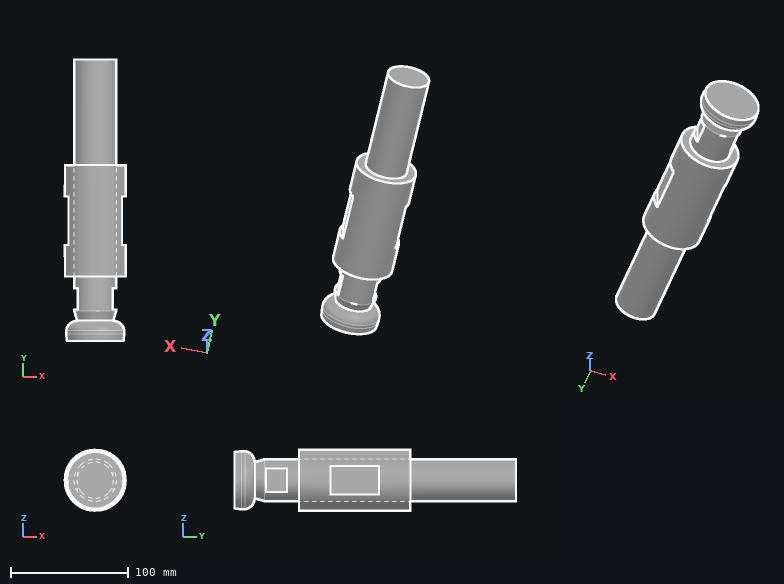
import cadquery as cq
import math


total_length = 240.0
rod_diameter = 36.0
rod_flat_width = 30.0
rod_flat_start = 27.0
rod_flat_length = 18.0

head_face_diameter = 48.4
head_taper_length = 6.0
head_band_length = 3.0
head_arc_radius = 10.0
head_arc_center_radius = 15.0
neck_radius = 15.5
neck_end = 25.5

sleeve_diameter = 52.0
sleeve_start = 55.0
sleeve_length = 95.0
sleeve_flat_width = 46.0
sleeve_flat_length = 41.0
sleeve_flat_start = sleeve_start + (sleeve_length - sleeve_flat_length) / 2

rod_radius = rod_diameter / 2
band_end = head_taper_length + head_band_length
head_arc_center_y = head_taper_length + head_band_length / 2


def head_arc_radius_at(y):
    """Distance from the axis to the rounded back of the head at the given Y."""
    return head_arc_center_radius + math.sqrt(head_arc_radius**2 - (y - head_arc_center_y) ** 2)


band_radius = head_arc_radius_at(band_end)
neck_start = head_arc_center_y + math.sqrt(
    head_arc_radius**2 - (neck_radius - head_arc_center_radius) ** 2
)
head_arc_middle = (band_end + neck_start) / 2


def cut_flats(body, diameter, flat_width, start, length):
    """Cut a pair of opposite flats, facing -X and +X, flat_width apart."""
    depth = (diameter - flat_width) / 2
    for side in (-1, 1):
        cutter = (
            cq.Workplane("XY")
            .box(depth, length, diameter)
            .translate((side * (flat_width + depth) / 2, start + length / 2, 0))
        )
        body = body.cut(cutter)
    return body


def make_rod():
    """Rod turned in one piece with its neck and rounded head."""
    turned = (
        cq.Workplane("YZ")
        .lineTo(0, head_face_diameter / 2)
        .lineTo(head_taper_length, band_radius)
        .lineTo(band_end, band_radius)
        .threePointArc(
            (head_arc_middle, head_arc_radius_at(head_arc_middle)),
            (neck_start, neck_radius),
        )
        .lineTo(neck_end, rod_radius)
        .lineTo(total_length, rod_radius)
        .lineTo(total_length, 0)
        .close()
        .revolve(360, (0, 0, 0), (1, 0, 0))
    )
    return cut_flats(turned, rod_diameter, rod_flat_width, rod_flat_start, rod_flat_length)


def make_sleeve():
    """Sleeve bored to fit the rod, with a pair of flats at mid-length."""
    turned = (
        cq.Workplane("XZ", origin=(0, sleeve_start, 0))
        .circle(sleeve_diameter / 2)
        .circle(rod_radius)
        .extrude(-sleeve_length)
    )
    return cut_flats(
        turned, sleeve_diameter, sleeve_flat_width, sleeve_flat_start, sleeve_flat_length
    )


rod = make_rod()
sleeve = make_sleeve()

result = cq.Compound.makeCompound([rod.val(), sleeve.val()])